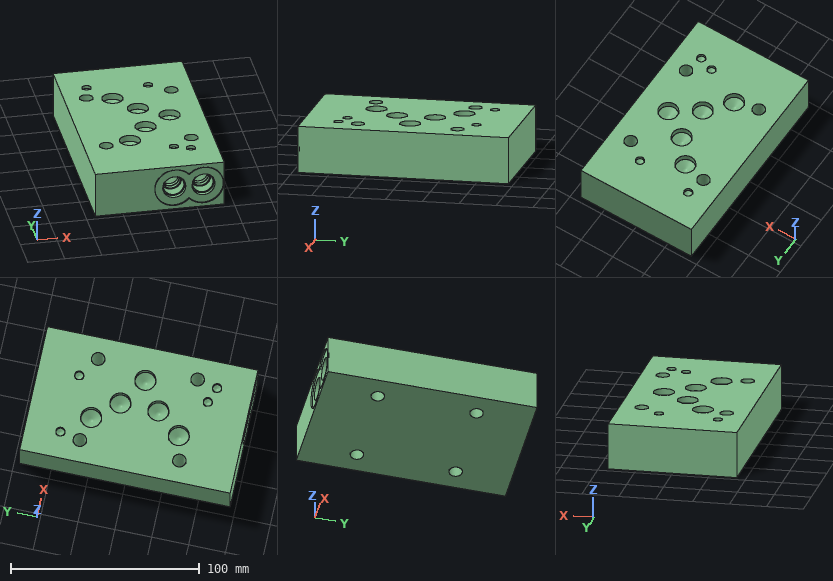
import cadquery as cq
import math

WIDTH = 69.8
LENGTH = 114.3
HEIGHT = 25.4
TOP = HEIGHT / 2
FRONT = -LENGTH / 2

DRILL_POINT_ANGLE = 118.0

MOUNT_DIAMETER = 7.1
MOUNT_X = 23.0
MOUNT_Y = 27.0

VALVE_PORT_DIAMETER = 11.1
VALVE_PORT_DEPTH = 3.5
PRESSURE_PORT_X = 16.7
WORK_PORT_X = 1.6
WORK_PORT_Y = 10.3
TANK_PORT_X = -9.5
TANK_PORT_Y = 23.8
VALVE_PORTS = [
    (PRESSURE_PORT_X, 0),
    (WORK_PORT_X, WORK_PORT_Y),
    (WORK_PORT_X, -WORK_PORT_Y),
    (TANK_PORT_X, TANK_PORT_Y),
    (TANK_PORT_X, -TANK_PORT_Y),
]

PIN_DIAMETER = 4.8
PIN_DEPTH = 1.7
INNER_PIN_X = 12.0
INNER_PIN_Y = 34.9
OUTER_PIN_X = 20.6
OUTER_PIN_Y = 38.1
PIN_HOLES = [
    (INNER_PIN_X, INNER_PIN_Y),
    (INNER_PIN_X, -INNER_PIN_Y),
    (OUTER_PIN_X, -OUTER_PIN_Y),
    (-OUTER_PIN_X, OUTER_PIN_Y),
]

SIDE_PORT_X = 8.0
SIDE_PORT_SPACING = 15.8
SPOTFACE_DIAMETER = 21.3
SPOTFACE_DEPTH = 0.8
MOUTH_DIAMETER = 12.3
MOUTH_DEPTH = 3.0
THREAD_DIAMETER = 11.1
THREAD_DEPTH = 9.1
CORE_DIAMETER = 9.8
CORE_DEPTH = 11.4
DRILL_DIAMETER = 9.5
DRILL_DEPTH = 13.7

SIDE_PORT_STEPS = [
    (SPOTFACE_DIAMETER, SPOTFACE_DEPTH),
    (MOUTH_DIAMETER, MOUTH_DEPTH),
    (THREAD_DIAMETER, THREAD_DEPTH),
    (CORE_DIAMETER, CORE_DEPTH),
    (DRILL_DIAMETER, DRILL_DEPTH),
]


def point_height(diameter):
    """Height of the conical end left by a drill."""
    return diameter / 2 / math.tan(math.radians(DRILL_POINT_ANGLE / 2))


def stepped_hole(steps):
    """Cutter along +Z from the origin, with a wall per (diameter, end depth) and a drill-point end."""
    profile = [(0, 0)]
    depth = 0
    for diameter, end_depth in steps:
        profile.append((diameter / 2, depth))
        profile.append((diameter / 2, end_depth))
        depth = end_depth
    profile.append((0, depth + point_height(diameter)))
    return cq.Workplane("XZ").polyline(profile).close().revolve(360, (0, 0), (0, 1))


def top_hole(x, y, diameter, depth):
    """Blind hole going down from the top face."""
    hole = stepped_hole([(diameter, depth)])
    return hole.rotate((0, 0, 0), (1, 0, 0), 180).translate((x, y, TOP))


def side_port(x):
    """Spotfaced and stepped port going in along +Y from the front face."""
    port = stepped_hole(SIDE_PORT_STEPS)
    return port.rotate((0, 0, 0), (1, 0, 0), -90).translate((x, FRONT, 0))


block = cq.Workplane("XY").box(WIDTH, LENGTH, HEIGHT)
block = block.faces(">Z").workplane().rect(2 * MOUNT_X, 2 * MOUNT_Y, forConstruction=True)
block = block.vertices().hole(MOUNT_DIAMETER)

for port_x, port_y in VALVE_PORTS:
    block = block.cut(top_hole(port_x, port_y, VALVE_PORT_DIAMETER, VALVE_PORT_DEPTH))

for pin_x, pin_y in PIN_HOLES:
    block = block.cut(top_hole(pin_x, pin_y, PIN_DIAMETER, PIN_DEPTH))

for port_x in (SIDE_PORT_X, SIDE_PORT_X + SIDE_PORT_SPACING):
    block = block.cut(side_port(port_x))

result = block